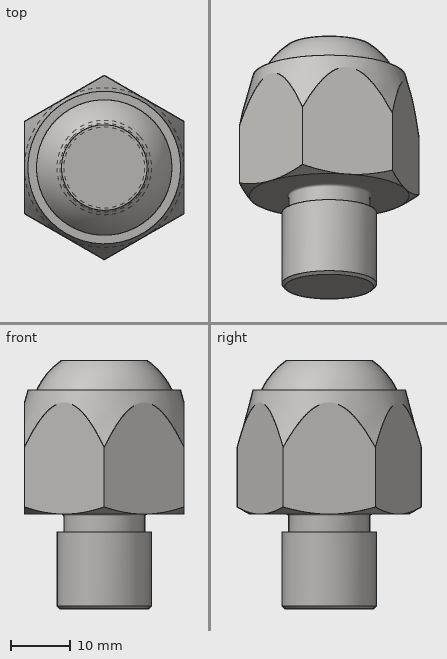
import cadquery as cq
import math

SHANK_TOP = 13.0
HEX_BOTTOM = 16.0
HEX_TOP = 37.0
TOTAL_HEIGHT = 42.0

SHANK_DIAMETER = 16.0
SHANK_CHAMFER = 0.5
NECK_DIAMETER = 13.7
NECK_FILLET = 0.4

HEX_ACROSS_FLATS = 27.0
HEX_ACROSS_CORNERS = HEX_ACROSS_FLATS / math.cos(math.radians(30))
LOWER_BEVEL_ANGLE = 30.0
UPPER_CONE_ANGLE = 15.5
UPPER_CONE_DIAMETER = 25.8

DOME_RADIUS = 12.65
DOME_BASE_DIAMETER = 22.9


def make_shank():
    """Shank with a chamfered lower end."""
    shank = cq.Workplane("XY").circle(SHANK_DIAMETER / 2).extrude(SHANK_TOP)
    return shank.faces("<Z").chamfer(SHANK_CHAMFER)


def make_neck():
    """Undercut neck with a small concave fillet where it meets the head."""
    neck_radius = NECK_DIAMETER / 2
    arc_inset = NECK_FILLET * (1 - math.cos(math.radians(45)))
    return (
        cq.Workplane("XZ")
        .moveTo(0, SHANK_TOP)
        .lineTo(neck_radius, SHANK_TOP)
        .lineTo(neck_radius, HEX_BOTTOM - NECK_FILLET)
        .threePointArc(
            (neck_radius + arc_inset, HEX_BOTTOM - arc_inset),
            (neck_radius + NECK_FILLET, HEX_BOTTOM),
        )
        .lineTo(0, HEX_BOTTOM)
        .close()
        .revolve(360, (0, 0), (0, 1))
    )


def make_head():
    """Hexagon with two flats facing X, trimmed by a bevelled round envelope."""
    hexagon = (
        cq.Workplane("XY", origin=(0, 0, HEX_BOTTOM))
        .polygon(6, HEX_ACROSS_CORNERS)
        .extrude(HEX_TOP - HEX_BOTTOM)
        .rotate((0, 0, 0), (0, 0, 1), 30)
    )
    bottom_radius = HEX_ACROSS_FLATS / 2
    top_radius = UPPER_CONE_DIAMETER / 2
    outer_radius = HEX_ACROSS_CORNERS / 2
    bevel_height = (outer_radius - bottom_radius) * math.tan(math.radians(LOWER_BEVEL_ANGLE))
    cone_height = (outer_radius - top_radius) / math.tan(math.radians(UPPER_CONE_ANGLE))
    envelope = (
        cq.Workplane("XZ")
        .moveTo(0, HEX_BOTTOM)
        .lineTo(bottom_radius, HEX_BOTTOM)
        .lineTo(outer_radius, HEX_BOTTOM + bevel_height)
        .lineTo(outer_radius, HEX_TOP - cone_height)
        .lineTo(top_radius, HEX_TOP)
        .lineTo(0, HEX_TOP)
        .close()
        .revolve(360, (0, 0), (0, 1))
    )
    return hexagon.intersect(envelope)


def make_dome():
    """Spherical cap centred on the axis and cut flat at the top."""
    base_radius = DOME_BASE_DIAMETER / 2
    center_z = HEX_TOP - math.sqrt(DOME_RADIUS**2 - base_radius**2)
    middle_z = (HEX_TOP + TOTAL_HEIGHT) / 2

    def radius_at(z):
        return math.sqrt(DOME_RADIUS**2 - (z - center_z) ** 2)

    return (
        cq.Workplane("XZ")
        .moveTo(0, HEX_TOP)
        .lineTo(base_radius, HEX_TOP)
        .threePointArc((radius_at(middle_z), middle_z), (radius_at(TOTAL_HEIGHT), TOTAL_HEIGHT))
        .lineTo(0, TOTAL_HEIGHT)
        .close()
        .revolve(360, (0, 0), (0, 1))
    )


result = make_shank().union(make_neck()).union(make_head()).union(make_dome())